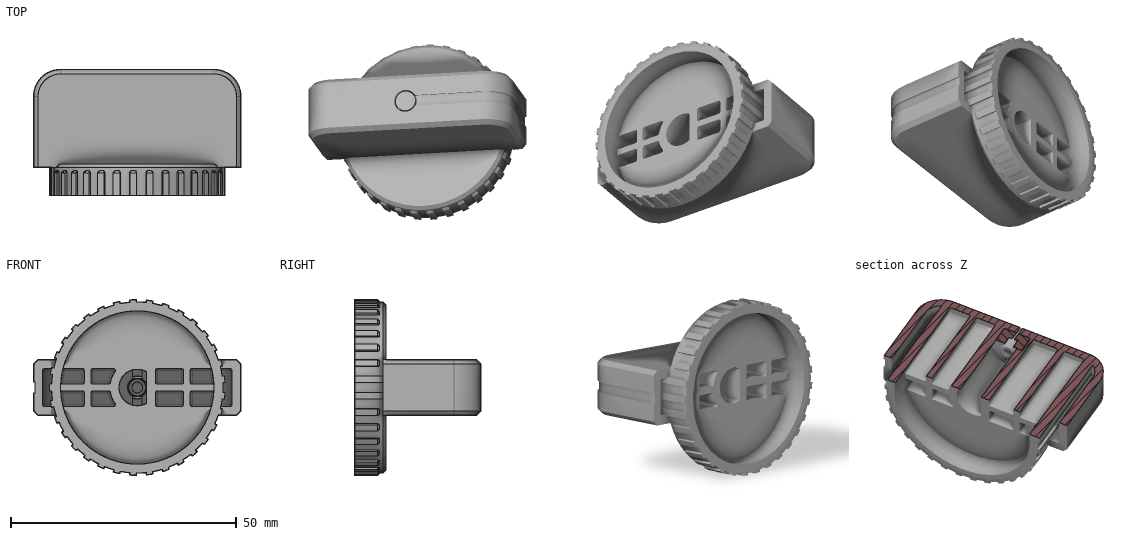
import cadquery as cq
import math


TOTAL_DEPTH = 28.0
WALL = 2.0

WHEEL_RADIUS = 19.0
WHEEL_DEPTH = 7.0
WHEEL_CHAMFER = 0.75
RECESS_RADIUS = WHEEL_RADIUS - WALL
RECESS_DEPTH = WHEEL_DEPTH - WALL

RIDGE_COUNT = 33
RIDGE_HEIGHT = 0.5
RIDGE_WIDTH = 1.5
RIDGE_LENGTH = 5.55
RIDGE_END_RADIUS = 0.5
RIDGE_SINK = 0.5
RIDGE_TIP_RADIUS = WHEEL_RADIUS + RIDGE_HEIGHT

GRIP_WIDTH = 46.0
GRIP_HEIGHT = 12.4
GRIP_FRONT = WHEEL_DEPTH - WHEEL_CHAMFER
GRIP_CORNER_RADIUS = 6.0
GRIP_CHAMFER = 1.0
MARK_WIDTH = 2.4
MARK_DEPTH = 0.3

CAVITY_HALF_WIDTH = GRIP_WIDTH / 2 - WALL
CAVITY_HALF_HEIGHT = GRIP_HEIGHT / 2 - WALL
CAVITY_FLOOR = TOTAL_DEPTH - WALL
CAVITY_FILLET = 0.45
RIB_THICKNESS = 1.5
CROSS_RIB_X = 11.0

BORE_RADIUS = 4.05
BORE_FLAT_X = 2.05
COLLAR_RADIUS = BORE_RADIUS + WALL
COLLAR_FLAT_X = BORE_FLAT_X + WALL
BACK_HOLE_RADIUS = 2.5

INSERT_THICKNESS = 4.0
INSERT_FRONT = CAVITY_FLOOR - INSERT_THICKNESS
SLOT_WIDTH = 2.1
SLOT_DEPTH = 2.0
PIN_RADIUS = 2.15
PIN_CHAMFER = 0.25
PIN_FRONT = INSERT_FRONT - PIN_CHAMFER
PIN_SOCKET_RADIUS = 1.2
PIN_SOCKET_DEPTH = 1.0


def box(x_range, y_range, z_range):
    """Box between two limits on each axis."""
    (x0, x1), (y0, y1), (z0, z1) = x_range, y_range, z_range
    return cq.Workplane("XY").box(x1 - x0, y1 - y0, z1 - z0, centered=False).translate((x0, y0, z0))


def cylinder(radius, y_start, y_end):
    """Cylinder on the Y axis."""
    return cq.Workplane("XZ", origin=(0, y_start, 0)).circle(radius).extrude(y_start - y_end)


def rounded_slab(half_width, front, back, half_height, corner_radius):
    """Slab with its two back corners rounded."""
    slab = box((-half_width, half_width), (front, back), (-half_height, half_height))
    return slab.edges("|Z and >Y").fillet(corner_radius)


def ridge_angles():
    """Angles of the ridges about the Y axis, counted from the -X side."""
    return [i * 360 / RIDGE_COUNT for i in range(RIDGE_COUNT)]


def meets_cavity(angle):
    """True where the middle of a ridge lies level with the cavity, so that it runs on into the grip."""
    return abs(RIDGE_TIP_RADIUS * math.sin(math.radians(angle))) < CAVITY_HALF_HEIGHT


def ridge_bar(length):
    """Straight bar at the -X side, starting at the wheel front."""
    return box(
        (-RIDGE_TIP_RADIUS, RIDGE_SINK - WHEEL_RADIUS),
        (0, length),
        (-RIDGE_WIDTH / 2, RIDGE_WIDTH / 2),
    )


def make_short_ridge():
    """Ridge with a rounded end that slopes down to the wheel."""
    envelope = cylinder(RIDGE_TIP_RADIUS, 0, RIDGE_LENGTH).faces(">Y").chamfer(RIDGE_HEIGHT)
    bar = ridge_bar(RIDGE_LENGTH).edges("|X and >Y").fillet(RIDGE_END_RADIUS)
    return bar.intersect(envelope)


def make_long_ridge():
    """Ridge that continues through the grip to the cavity floor."""
    return ridge_bar(CAVITY_FLOOR).intersect(cylinder(RIDGE_TIP_RADIUS, 0, CAVITY_FLOOR))


def add_ridges(body, ridge, angles):
    for angle in angles:
        body = body.union(ridge.rotate((0, 0, 0), (0, 1, 0), angle))
    return body


def make_wheel():
    wheel = cylinder(WHEEL_RADIUS, 0, WHEEL_DEPTH).faces(">Y").chamfer(WHEEL_CHAMFER)
    short_angles = [angle for angle in ridge_angles() if not meets_cavity(angle)]
    return add_ridges(wheel, make_short_ridge(), short_angles)


def make_grip():
    half_width = GRIP_WIDTH / 2
    half_height = GRIP_HEIGHT / 2
    grip = rounded_slab(half_width, GRIP_FRONT, TOTAL_DEPTH, half_height, GRIP_CORNER_RADIUS)
    for side in (">Z", "<Z"):
        grip = grip.faces(side).edges("not <Y").chamfer(GRIP_CHAMFER)
    return grip.cut(make_mark())


def make_mark():
    """Shallow pointer groove along the -X side, around the corner and up to the middle of the back."""
    half_width = GRIP_WIDTH / 2
    half_mark = MARK_WIDTH / 2
    band = box((-half_width, 0), (GRIP_FRONT, TOTAL_DEPTH), (-half_mark, half_mark))
    core = rounded_slab(
        half_width - MARK_DEPTH,
        GRIP_FRONT,
        TOTAL_DEPTH - MARK_DEPTH,
        half_mark,
        GRIP_CORNER_RADIUS - MARK_DEPTH,
    )
    return band.cut(core)


def make_side_hollows():
    """Hollow of the grip outside the round core that carries the wheel outline to the cavity floor."""
    hollow = rounded_slab(
        CAVITY_HALF_WIDTH,
        GRIP_FRONT,
        CAVITY_FLOOR,
        CAVITY_HALF_HEIGHT,
        GRIP_CORNER_RADIUS - WALL,
    )
    for side in (">Z", "<Z"):
        hollow = hollow.faces(side).edges("not <Y").fillet(CAVITY_FILLET)
    return hollow.cut(cylinder(WHEEL_RADIUS, 0, TOTAL_DEPTH))


def d_prism(radius, flat_x, y_start, y_end):
    """Cylinder on the Y axis with a flat on its +X side."""
    keep = box((-radius, flat_x), (y_start, y_end), (-radius, radius))
    return cylinder(radius, y_start, y_end).intersect(keep)


def make_pocket(x_start, x_end):
    """Pocket above the middle rib, bounded by the recess wall and the bore collar."""
    pocket = box((x_start, x_end), (RECESS_DEPTH, CAVITY_FLOOR), (RIB_THICKNESS / 2, CAVITY_HALF_HEIGHT))
    pocket = pocket.intersect(cylinder(RECESS_RADIUS, RECESS_DEPTH, CAVITY_FLOOR))
    pocket = pocket.cut(d_prism(COLLAR_RADIUS, COLLAR_FLAT_X, RECESS_DEPTH, CAVITY_FLOOR))
    return pocket.edges("not <Y").fillet(CAVITY_FILLET)


def make_pockets():
    rib_inner = CROSS_RIB_X - RIB_THICKNESS / 2
    rib_outer = CROSS_RIB_X + RIB_THICKNESS / 2
    spans = [
        (-RECESS_RADIUS, -rib_outer),
        (-rib_inner, 0),
        (COLLAR_FLAT_X, rib_inner),
        (rib_outer, RECESS_RADIUS),
    ]
    pockets = []
    for span in spans:
        upper = make_pocket(*span)
        pockets += [upper, upper.mirror("XY")]
    return pockets


def make_knob():
    knob = make_wheel().union(make_grip())
    knob = knob.cut(cylinder(RECESS_RADIUS, 0, RECESS_DEPTH))
    knob = knob.cut(make_side_hollows())
    long_angles = [angle for angle in ridge_angles() if meets_cavity(angle)]
    knob = add_ridges(knob, make_long_ridge(), long_angles)
    for pocket in make_pockets():
        knob = knob.cut(pocket)
    knob = knob.cut(d_prism(BORE_RADIUS, BORE_FLAT_X, RECESS_DEPTH, INSERT_FRONT))
    knob = knob.cut(cylinder(BORE_RADIUS, INSERT_FRONT, CAVITY_FLOOR))
    knob = knob.cut(cylinder(PIN_RADIUS, PIN_FRONT, INSERT_FRONT))
    return knob.cut(cylinder(BACK_HOLE_RADIUS, CAVITY_FLOOR, TOTAL_DEPTH))


def make_insert():
    """Round insert with a slot across its front; the two cheeks beside the slot grip the pin."""
    slot_floor = INSERT_FRONT + SLOT_DEPTH
    slot = box(
        (-SLOT_WIDTH / 2, SLOT_WIDTH / 2),
        (INSERT_FRONT, slot_floor),
        (-BORE_RADIUS, BORE_RADIUS),
    )
    insert = cylinder(BORE_RADIUS, INSERT_FRONT, CAVITY_FLOOR).cut(slot)
    insert = insert.cut(cylinder(PIN_RADIUS, INSERT_FRONT, slot_floor))
    return insert.cut(cylinder(BACK_HOLE_RADIUS, slot_floor, CAVITY_FLOOR))


def make_pin():
    pin = cylinder(PIN_RADIUS, PIN_FRONT, TOTAL_DEPTH).faces("<Y").chamfer(PIN_CHAMFER)
    return pin.cut(cylinder(PIN_SOCKET_RADIUS, PIN_FRONT, PIN_FRONT + PIN_SOCKET_DEPTH))


knob = make_knob()
insert = make_insert()
pin = make_pin()
result = cq.Compound.makeCompound([knob.val(), insert.val(), pin.val()])